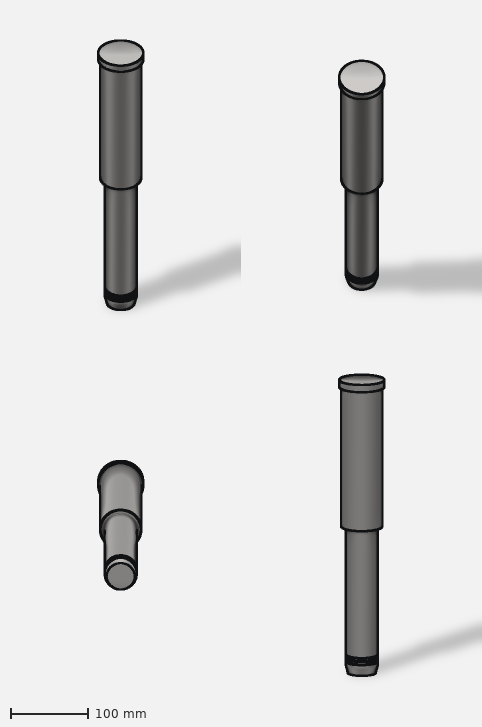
import cadquery as cq
import math

total_length = 391.0
head_diameter = 59.0
head_thickness = 10.0
body_diameter = 54.0
body_bottom = 194.7
shaft_diameter = 42.0

head_chamfer = 0.5
body_chamfer = 0.8
corner_fillet = 0.8

taper_length = 10.0
taper_angle = 15.0

groove_count = 3
groove_width = 1.0
groove_depth = 0.5
groove_pitch = 4.3
lowest_groove_bottom = 15.0


def cylinder(diameter, bottom, top):
    return cq.Workplane("XY").workplane(offset=bottom).circle(diameter / 2).extrude(top - bottom)


def make_head():
    head = cylinder(head_diameter, total_length - head_thickness, total_length)
    return head.edges().chamfer(head_chamfer)


def make_body():
    body = cylinder(body_diameter, body_bottom, total_length - head_thickness)
    return body.faces("<Z").edges().chamfer(body_chamfer)


def make_shaft():
    taper_inset = taper_length * math.tan(math.radians(taper_angle))
    shaft = cylinder(shaft_diameter, 0, body_bottom)
    return shaft.faces("<Z").edges().chamfer(taper_length, taper_inset)


def make_corner_fillet(diameter, shoulder_height):
    """Disc whose rim fills the corner between a cylinder and the shoulder above it."""
    radius = diameter / 2
    arc_inset = corner_fillet * (1 - math.sqrt(0.5))
    return (
        cq.Workplane("XZ")
        .moveTo(0, shoulder_height)
        .lineTo(radius + corner_fillet, shoulder_height)
        .threePointArc(
            (radius + arc_inset, shoulder_height - arc_inset),
            (radius, shoulder_height - corner_fillet),
        )
        .lineTo(0, shoulder_height - corner_fillet)
        .close()
        .revolve(360, (0, 0, 0), (0, 1, 0))
    )


def make_groove(bottom):
    top = bottom + groove_width
    ring = cylinder(shaft_diameter + 2 * groove_depth, bottom, top)
    return ring.cut(cylinder(shaft_diameter - 2 * groove_depth, bottom, top))


result = make_head().union(make_body()).union(make_shaft())
result = result.union(make_corner_fillet(body_diameter, total_length - head_thickness))
result = result.union(make_corner_fillet(shaft_diameter, body_bottom))
for groove_index in range(groove_count):
    result = result.cut(make_groove(lowest_groove_bottom + groove_index * groove_pitch))